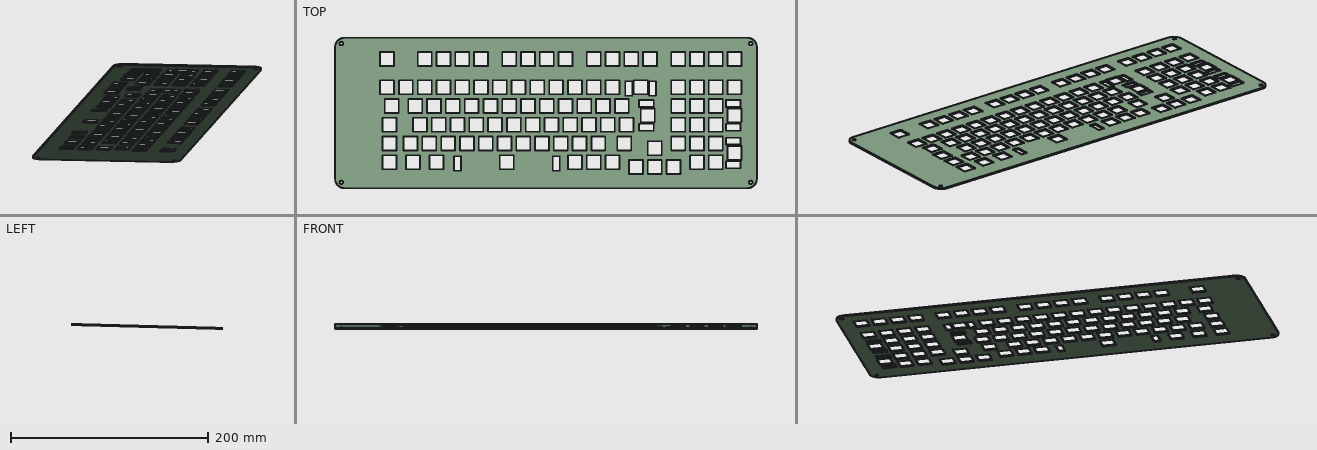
import cadquery as cq

PLATE_LENGTH = 428.0
PLATE_DEPTH = 153.0
PLATE_THICKNESS = 1.5
CORNER_RADIUS = 10.0
TILT_DEGREES = 1.5

SCREW_DIAMETER = 3.4
SCREW_INSET_X = 6.5
SCREW_INSET_Y = 6.0

TWENTY_KEY_SPAN = 381.0
KEY_PITCH = TWENTY_KEY_SPAN / 20
NUMBER_ROW_Y = 26.0
KEY_WEB = 5.0
SWITCH_SIZE = KEY_PITCH - KEY_WEB
RIGHT_MARGIN = 16.0
NUMPAD_COLUMN = 15.5
NUMPAD_COLUMN_COUNT = 4
NUMPAD_LAST_COLUMN = NUMPAD_COLUMN + NUMPAD_COLUMN_COUNT - 1
LAST_COLUMN_X = PLATE_LENGTH / 2 - RIGHT_MARGIN - SWITCH_SIZE / 2
FIRST_COLUMN_X = LAST_COLUMN_X - NUMPAD_LAST_COLUMN * KEY_PITCH

STABILIZER_WIDTH = 7.0
STABILIZER_LENGTH = 14.5
STABILIZER_SHIFT = 1.3
TWO_KEY_REACH = 12.0
SPACE_BAR_REACH = 50.0

FUNCTION_ROW = -1.5
ARROW_DROP = 0.25

BACKSPACE = (13.5, 0)
SPACE_BAR = (6.375, 4)
RETURN_KEY = (13.875, 1.5)
NUMPAD_PLUS = (NUMPAD_LAST_COLUMN, 1.5)
NUMPAD_ENTER = (NUMPAD_LAST_COLUMN, 3.5)
TALL_KEYS = [RETURN_KEY, NUMPAD_PLUS, NUMPAD_ENTER]

KEY_RUNS = [
    (0, FUNCTION_ROW, 1),
    (2, FUNCTION_ROW, 4),
    (6.5, FUNCTION_ROW, 4),
    (11, FUNCTION_ROW, 4),
    (NUMPAD_COLUMN, FUNCTION_ROW, NUMPAD_COLUMN_COUNT),
    (0, 0, 13),
    (NUMPAD_COLUMN, 0, NUMPAD_COLUMN_COUNT),
    (0.25, 1, 1),
    (1.5, 1, 12),
    (NUMPAD_COLUMN, 1, 3),
    (0.125, 2, 1),
    (1.75, 2, 12),
    (NUMPAD_COLUMN, 2, 3),
    (0.125, 3, 1),
    (1.25, 3, 11),
    (12.625, 3, 1),
    (NUMPAD_COLUMN, 3, 3),
    (0.125, 4, 1),
    (1.375, 4, 1),
    (2.625, 4, 1),
    (10, 4, 3),
    (NUMPAD_COLUMN + 1, 4, 2),
    (14.25, 3 + ARROW_DROP, 1),
    (13.25, 4 + ARROW_DROP, 3),
]


def key_position(column, row):
    """Centre of a key on the flat plate."""
    return FIRST_COLUMN_X + column * KEY_PITCH, NUMBER_ROW_Y - row * KEY_PITCH


def cut_windows(plate, centres, size_x, size_y):
    """Cut equal rectangular windows through the plate."""
    top = plate.faces(">Z").workplane(origin=(0, 0, 0))
    return top.pushPoints(centres).rect(size_x, size_y).cutThruAll()


def blank_plate():
    """Rounded plate with its four screw holes."""
    plate = cq.Workplane("XY").box(PLATE_LENGTH, PLATE_DEPTH, PLATE_THICKNESS)
    plate = plate.edges("|Z").fillet(CORNER_RADIUS)
    screw_span_x = PLATE_LENGTH - 2 * SCREW_INSET_X
    screw_span_y = PLATE_DEPTH - 2 * SCREW_INSET_Y
    screws = plate.faces(">Z").workplane().rect(screw_span_x, screw_span_y, forConstruction=True)
    return screws.vertices().hole(SCREW_DIAMETER)


def switch_centres():
    """Centres of every switch window."""
    centres = [key_position(*key) for key in [BACKSPACE, SPACE_BAR] + TALL_KEYS]
    for first_column, row, count in KEY_RUNS:
        for step in range(count):
            centres.append(key_position(first_column + step, row))
    return centres


def wide_key_stabilizers():
    """Window centres left and right of the backspace and space bar."""
    centres = []
    for key, reach in [(BACKSPACE, TWO_KEY_REACH), (SPACE_BAR, SPACE_BAR_REACH)]:
        x, y = key_position(*key)
        for side in (-1, 1):
            centres.append((x + side * reach, y - STABILIZER_SHIFT))
    return centres


def tall_key_stabilizers():
    """Window centres above and below the two-row keys."""
    centres = []
    for key in TALL_KEYS:
        x, y = key_position(*key)
        for side in (-1, 1):
            centres.append((x - STABILIZER_SHIFT, y + side * TWO_KEY_REACH))
    return centres


flat = blank_plate()
flat = cut_windows(flat, switch_centres(), SWITCH_SIZE, SWITCH_SIZE)
flat = cut_windows(flat, wide_key_stabilizers(), STABILIZER_WIDTH, STABILIZER_LENGTH)
flat = cut_windows(flat, tall_key_stabilizers(), STABILIZER_LENGTH, STABILIZER_WIDTH)
result = flat.rotate((0, 0, 0), (1, 0, 0), TILT_DEGREES)